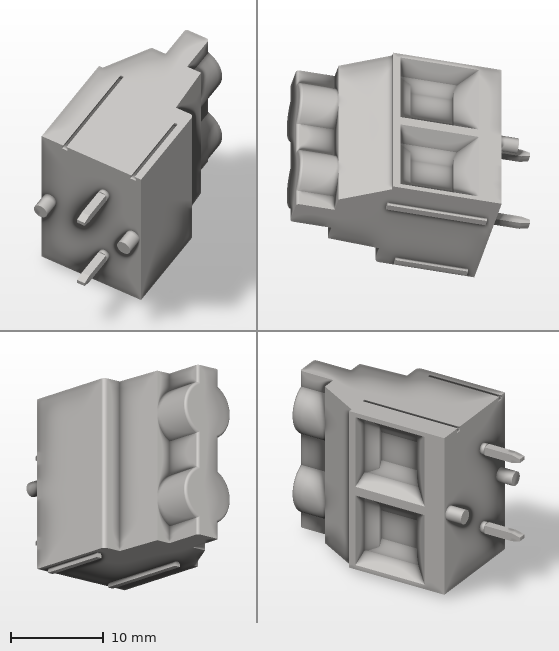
import cadquery as cq


width = 12.5
pole_count = 2
pole_pitch = 9.55
height = pole_count * pole_pitch
pole_heights = [(index + 0.5) * pole_pitch for index in range(pole_count)]

overall_length = 26.5
pin_reach = 4.98
length = overall_length - pin_reach
front_shoulder = 12.05
front_ledge = 0.48
front_slope_end = 17.28
back_shoulder = 11.05
back_taper_end = 16.85
back_taper_x = 10.28
back_corner_radius = 0.45

dome_radius = 3.23
dome_x = 6.73
wall_thickness = 2.97
rim_radius = 0.32
dome_front_x = dome_x - dome_radius
dome_back_x = dome_x + dome_radius
wall_front_x = dome_x - wall_thickness / 2
wall_back_x = dome_x + wall_thickness / 2

entry_near_y = 2.52
entry_far_y = 11.25
entry_height = 8.48
throat_near_y = 4.82
throat_far_y = 9.6
throat_height = 6.52
floor_height = 3.42
far_wall_depth = 1.85
throat_depth = 1.93
side_slope_depth = 2.25
entry_depth = 2.65

rail_height = 0.53
rail_neck_width = 0.4
rail_head_width = 0.72
rail_straight = 0.26
rail_start = 1.0
front_rail_x = 2.92
back_rail_x = 11.5
back_rail_end = 9.05
rails = [(front_rail_x, front_shoulder), (back_rail_x, back_rail_end)]

post_diameter = 1.65
post_length = 2.0
post_xs = [1.03, back_rail_x]

pin_x = 7.92
pin_size = 0.95
pin_tip_height = 0.45
pin_tip_length = 1.0
collar_diameter = 1.27
collar_length = 0.5


def cylinder_y(x, z, diameter, start, end):
    """Cylinder along Y between two Y positions."""
    plane = cq.Workplane("XZ", origin=(0, start, 0))
    return plane.center(x, z).circle(diameter / 2).extrude(start - end)


def make_housing():
    """Stepped outline with the screw end reduced to a wall, extruded over the full height."""
    body = (
        cq.Workplane("XY")
        .moveTo(0, 0)
        .lineTo(width, 0)
        .lineTo(width, back_shoulder - back_corner_radius)
        .radiusArc((width - back_corner_radius, back_shoulder), -back_corner_radius)
        .lineTo(back_taper_x, back_shoulder)
        .lineTo(dome_back_x, back_taper_end)
        .lineTo(wall_back_x, back_taper_end)
        .lineTo(wall_back_x, length)
        .lineTo(wall_front_x, length)
        .lineTo(wall_front_x, front_slope_end)
        .lineTo(dome_front_x, front_slope_end)
        .lineTo(front_ledge, front_shoulder)
        .lineTo(0, front_shoulder)
        .close()
        .extrude(height)
    )
    return body.faces(">Y").edges("|Z").fillet(rim_radius)


def make_dome(z):
    """Round screw housing with a rounded rim."""
    dome = cylinder_y(dome_x, z, 2 * dome_radius, back_taper_end, length)
    return dome.faces(">Y").edges().fillet(rim_radius)


def make_wire_entry(z):
    """Funnel pocket: a plan outline and a side profile intersected."""
    plan = (
        cq.Workplane("XY", origin=(0, 0, z - entry_height / 2))
        .polyline([
            (0, entry_near_y),
            (side_slope_depth, throat_near_y),
            (entry_depth, throat_near_y),
            (entry_depth, throat_far_y),
            (side_slope_depth, throat_far_y),
            (far_wall_depth, entry_far_y),
            (0, entry_far_y),
        ])
        .close()
        .extrude(entry_height)
    )
    flanks = (
        cq.Workplane("XZ", origin=(0, entry_far_y, z))
        .polyline([
            (0, -entry_height / 2),
            (throat_depth, -throat_height / 2),
            (entry_depth, -floor_height / 2),
            (entry_depth, floor_height / 2),
            (throat_depth, throat_height / 2),
            (0, entry_height / 2),
        ])
        .close()
        .extrude(entry_far_y - entry_near_y)
    )
    return plan.intersect(flanks)


def make_dovetail(x, top, start, end):
    """Dovetail bar along Y, hanging from the given Z level by its narrow side."""
    neck = rail_neck_width / 2
    head = rail_head_width / 2
    return (
        cq.Workplane("XZ", origin=(x, start, top))
        .polyline([
            (-neck, 0),
            (neck, 0),
            (head, rail_straight - rail_height),
            (head, -rail_height),
            (-head, -rail_height),
            (-head, rail_straight - rail_height),
        ])
        .close()
        .extrude(start - end)
    )


def make_pin(z):
    """Square solder pin with a round collar and a tip tapered in Z."""
    collar = cylinder_y(pin_x, z, collar_diameter, 0, -collar_length)
    taper_start = pin_tip_length - pin_reach
    blade = (
        cq.Workplane("YZ", origin=(pin_x - pin_size / 2, 0, z))
        .polyline([
            (-collar_length, -pin_size / 2),
            (-collar_length, pin_size / 2),
            (taper_start, pin_size / 2),
            (-pin_reach, pin_tip_height / 2),
            (-pin_reach, -pin_tip_height / 2),
            (taper_start, -pin_size / 2),
        ])
        .close()
        .extrude(pin_size)
    )
    return collar.union(blade)


result = make_housing()

for pole_z in pole_heights:
    result = result.union(make_dome(pole_z))
    result = result.cut(make_wire_entry(pole_z))
    result = result.union(make_pin(pole_z))

for rail_x, rail_end in rails:
    result = result.cut(make_dovetail(rail_x, height, 0, rail_end))
    result = result.union(make_dovetail(rail_x, 0, rail_start, rail_end))

for post_x in post_xs:
    result = result.union(cylinder_y(post_x, height / 2, post_diameter, 0, -post_length))